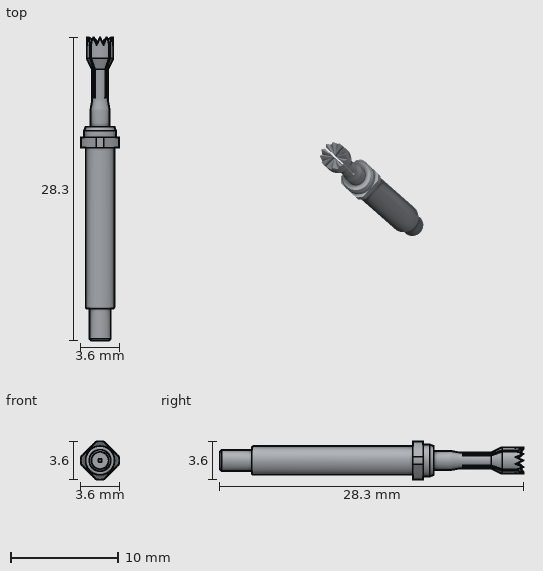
import cadquery as cq
import math


flange_corner_diameter = 3.6
flange_across_flats = 3.0
flange_thickness = 0.95
flange_turn = 45.0
collar_diameter = 3.0
collar_length = 1.0
collar_taper_length = 0.4
collar_end_diameter = 2.7
barrel_diameter = 2.7
barrel_length = 15.0
barrel_edge_round = 0.2

terminal_diameter = 2.0
terminal_length = 3.0
terminal_chamfer = 0.2
terminal_hole_diameter = 0.35
terminal_hole_depth = 0.5

plunger_length = 10.3
shaft_diameter = 1.8
neck_diameter = 1.5
head_diameter = 2.5
head_length = 2.0
head_taper_end = 3.0
neck_end = 5.92
shaft_start = 6.77
shaft_taper_fillet = 1.0

slot_width = 0.18
slot_length = 5.65
slot_count = 4
tooth_count = 12
tooth_depth = 0.75
plunger_turn = 45.0


def round_bar(diameter, y_rear, y_front):
    """Cylinder about the Y axis between two positions."""
    return (
        cq.Workplane("XZ", origin=(0, y_rear, 0))
        .circle(diameter / 2)
        .extrude(y_rear - y_front)
    )


def make_flange():
    """Square flange standing on its corner, with the corners rounded about the axis."""
    square = (
        cq.Workplane("XZ")
        .rect(flange_across_flats, flange_across_flats)
        .extrude(-flange_thickness)
        .rotate((0, 0, 0), (0, 1, 0), flange_turn)
    )
    return square.intersect(round_bar(flange_corner_diameter, 0, flange_thickness))


def make_barrel():
    """Barrel and collar, revolved about the Y axis."""
    collar_front = flange_thickness + collar_length
    profile = (
        cq.Workplane("YZ")
        .moveTo(-barrel_length, 0)
        .lineTo(-barrel_length, barrel_diameter / 2 - barrel_edge_round)
        .radiusArc((-barrel_length + barrel_edge_round, barrel_diameter / 2), barrel_edge_round)
        .lineTo(0, barrel_diameter / 2)
        .lineTo(0, collar_diameter / 2)
        .lineTo(collar_front - collar_taper_length, collar_diameter / 2)
        .lineTo(collar_front, collar_end_diameter / 2)
        .lineTo(collar_front, 0)
        .close()
    )
    return profile.revolve(360, (0, 0, 0), (1, 0, 0))


def make_terminal():
    """Rear pin with a chamfered end."""
    y_rear = -barrel_length - terminal_length
    pin = round_bar(terminal_diameter, y_rear, -barrel_length)
    return pin.faces("<Y").chamfer(terminal_chamfer)


def make_terminal_hole():
    """Small blind hole in the end of the rear pin."""
    y_rear = -barrel_length - terminal_length
    return round_bar(terminal_hole_diameter, y_rear, y_rear + terminal_hole_depth)


def make_plunger_blank():
    """Shaft, neck and head, revolved before the slots and teeth are cut."""
    tip = plunger_length
    blank = (
        cq.Workplane("YZ")
        .moveTo(0, 0)
        .lineTo(0, shaft_diameter / 2)
        .lineTo(tip - shaft_start, shaft_diameter / 2)
        .lineTo(tip - neck_end, neck_diameter / 2)
        .lineTo(tip - head_taper_end, neck_diameter / 2)
        .lineTo(tip - head_length, head_diameter / 2)
        .lineTo(tip, head_diameter / 2)
        .lineTo(tip, 0)
        .close()
        .revolve(360, (0, 0, 0), (1, 0, 0))
    )
    margin = 0.1
    taper_edges = cq.selectors.BoxSelector(
        (-shaft_diameter, tip - shaft_start - margin, -shaft_diameter),
        (shaft_diameter, tip - neck_end + margin, shaft_diameter),
        boundingbox=True,
    )
    return blank.edges("%CIRCLE").edges(taper_edges).fillet(shaft_taper_fillet)


def cut_slots(plunger):
    """Round-ended cross slots through the axis; each cut makes two opposite slots."""
    slot_end = plunger_length - slot_length
    slot = (
        cq.Workplane("YZ")
        .moveTo(plunger_length, -slot_width / 2)
        .lineTo(slot_end + slot_width / 2, -slot_width / 2)
        .threePointArc((slot_end, 0), (slot_end + slot_width / 2, slot_width / 2))
        .lineTo(plunger_length, slot_width / 2)
        .close()
        .extrude(head_diameter, both=True)
    )
    for index in range(slot_count // 2):
        plunger = plunger.cut(slot.rotate((0, 0, 0), (0, 1, 0), index * 360 / slot_count))
    return plunger


def cut_teeth(plunger):
    """V grooves across the head; neighbouring grooves meet at the rim in pointed teeth."""
    half_width = head_diameter / 2 * math.sin(math.pi / tooth_count)
    groove = (
        cq.Workplane("XY")
        .moveTo(-half_width, plunger_length)
        .lineTo(0, plunger_length - tooth_depth)
        .lineTo(half_width, plunger_length)
        .close()
        .extrude(head_diameter, both=True)
    )
    for index in range(tooth_count // 2):
        plunger = plunger.cut(groove.rotate((0, 0, 0), (0, 1, 0), index * 360 / tooth_count))
    return plunger


def make_plunger():
    """Finished plunger, turned so that its slots lie between the X and Z axes."""
    plunger = cut_teeth(cut_slots(make_plunger_blank()))
    return plunger.rotate((0, 0, 0), (0, 1, 0), -plunger_turn)


result = (
    make_barrel()
    .union(make_flange())
    .union(make_terminal())
    .cut(make_terminal_hole())
    .union(make_plunger())
)